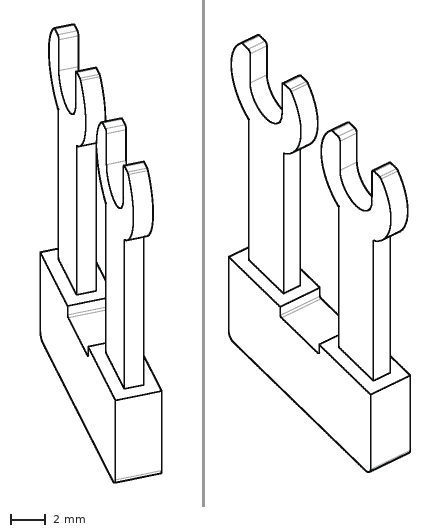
import cadquery as cq
import math

total_height = 23.0
terminal_pitch = 9.0

housing_width = 14.2
housing_depth = 2.8
housing_height = 6.4
housing_corner_radius = 0.5
notch_width = 3.89
notch_depth = 0.75
notch_root_radius = 0.12

terminal_thickness = 1.2
shank_width = 3.5
head_radius = 3.5
slot_width = 3.2
tip_above_head_centre = 2.5
tip_radius = 0.2

head_centre_z = total_height - tip_above_head_centre


def make_housing():
    """Block with rounded lower corners and a shallow notch across its top; its underside is at Z = 0."""
    block = (
        cq.Workplane("XY")
        .box(housing_width, housing_depth, housing_height, centered=(True, True, False))
        .edges("|Y and <Z")
        .fillet(housing_corner_radius)
    )
    notch = (
        cq.Workplane("XY")
        .workplane(offset=housing_height - notch_depth)
        .box(notch_width, housing_depth, notch_depth, centered=(True, True, False))
        .edges("|Y and <Z")
        .fillet(notch_root_radius)
    )
    return block.cut(notch)


def make_terminal(centre_x):
    """Flat open-ended fork standing on the housing top, with its centreline at centre_x."""
    half_shank = shank_width / 2
    half_slot = slot_width / 2
    shank_top_z = head_centre_z - math.sqrt(head_radius**2 - half_shank**2)
    tip_half_width = math.sqrt(head_radius**2 - tip_above_head_centre**2)

    terminal = (
        cq.Workplane("XZ")
        .moveTo(-half_shank, housing_height)
        .lineTo(half_shank, housing_height)
        .lineTo(half_shank, shank_top_z)
        .threePointArc((head_radius, head_centre_z), (tip_half_width, total_height))
        .lineTo(half_slot, total_height)
        .lineTo(half_slot, head_centre_z)
        .threePointArc((0, head_centre_z - half_slot), (-half_slot, head_centre_z))
        .lineTo(-half_slot, total_height)
        .lineTo(-tip_half_width, total_height)
        .threePointArc((-head_radius, head_centre_z), (-half_shank, shank_top_z))
        .close()
        .extrude(terminal_thickness / 2, both=True)
    )
    terminal = terminal.faces(">Z").edges("|Y").fillet(tip_radius)
    return terminal.translate((centre_x, 0, 0))


housing = make_housing()
terminals = [make_terminal(side * terminal_pitch / 2) for side in (-1, 1)]

result = cq.Compound.makeCompound([housing.val(), *[terminal.val() for terminal in terminals]])